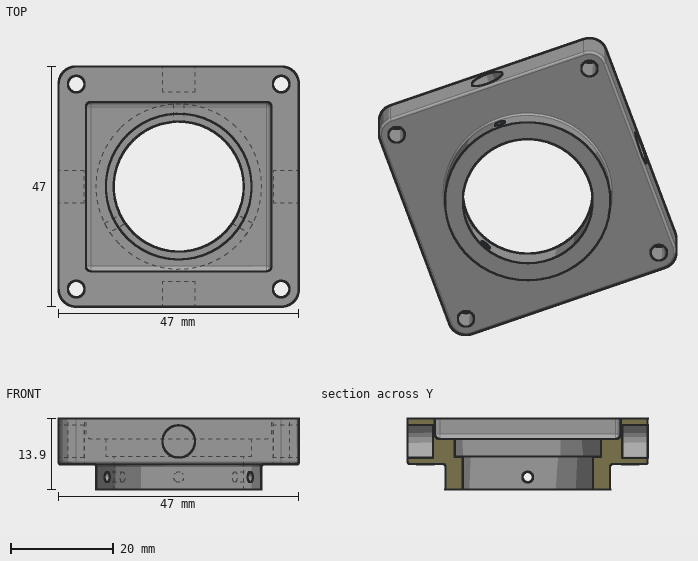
import cadquery as cq

plate_side = 47.0
plate_height = 9.0
plate_corner_radius = 3.5
bottom_edge_fillet = 0.5

overall_height = 13.9
collar_height = overall_height - plate_height
collar_diameter = 32.35
collar_root_fillet = 0.38

pocket_length = 36.3
pocket_width = 33.1
pocket_depth = 4.0
pocket_fillet = 1.0

bore_diameter = 25.4
seat_diameter = 28.5
seat_depth = 3.5

mount_hole_diameter = 3.2
mount_hole_spacing = plate_side - 2 * plate_corner_radius
side_hole_diameter = 6.35
side_hole_depth = 5.0
set_screw_diameter = 2.0
set_screw_angles = (90, 210, 330)


def make_plate():
    plate = cq.Workplane("XY").rect(plate_side, plate_side).extrude(plate_height)
    plate = plate.edges("|Z").fillet(plate_corner_radius)
    return plate.faces("<Z").edges().fillet(bottom_edge_fillet)


def add_collar(body):
    collar = cq.Workplane("XY").circle(collar_diameter / 2).extrude(-collar_height)
    body = body.union(collar)
    root_edge = cq.selectors.BoxSelector(
        (-collar_diameter, -collar_diameter, -collar_root_fillet),
        (collar_diameter, collar_diameter, collar_root_fillet),
    )
    return body.edges("%CIRCLE").edges(root_edge).fillet(collar_root_fillet)


def make_pocket():
    pocket = (
        cq.Workplane("XY", origin=(0, 0, plate_height))
        .rect(pocket_length, pocket_width)
        .extrude(-pocket_depth)
    )
    return pocket.edges("|Z or <Z").fillet(pocket_fillet)


def make_bore():
    bore = cq.Workplane("XY", origin=(0, 0, -collar_height)).circle(bore_diameter / 2).extrude(overall_height)
    pocket_floor = plate_height - pocket_depth
    seat = cq.Workplane("XY", origin=(0, 0, pocket_floor)).circle(seat_diameter / 2).extrude(-seat_depth)
    return bore.union(seat)


def make_mount_holes():
    return (
        cq.Workplane("XY")
        .rect(mount_hole_spacing, mount_hole_spacing, forConstruction=True)
        .vertices()
        .circle(mount_hole_diameter / 2)
        .extrude(plate_height)
    )


def make_radial_hole(diameter, start_radius, depth, height, angle):
    """Cylinder that runs inward from start_radius, turned to angle about Z."""
    hole = cq.Workplane("YZ", origin=(start_radius, 0, height)).circle(diameter / 2).extrude(-depth)
    return hole.rotate((0, 0, 0), (0, 0, 1), angle)


result = add_collar(make_plate())
result = result.cut(make_pocket()).cut(make_bore()).cut(make_mount_holes())

for angle in (0, 90, 180, 270):
    result = result.cut(
        make_radial_hole(side_hole_diameter, plate_side / 2, side_hole_depth, plate_height / 2, angle)
    )

for angle in set_screw_angles:
    result = result.cut(
        make_radial_hole(
            set_screw_diameter, collar_diameter / 2, collar_diameter / 2, -collar_height / 2, angle
        )
    )